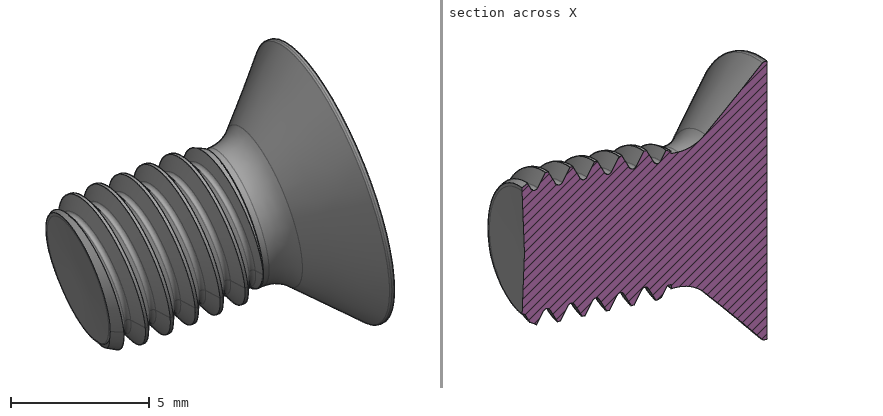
import cadquery as cq
import math

head_radius = 5.5
length = 10.0
rim_height = 0.18
rim_lower_rounding = 0.11
rim_upper_rounding = 0.04
shank_radius = 2.67
neck_fillet = 1.57

pitch = 1.0
crest_radius = 3.0
thread_length = 6.08
first_crest = 0.26
thread_start_radius = 2.75
thread_start_length = 0.55
groove_runout_rise = 0.48
groove_overshoot = 0.05

tip_radius = 2.6
tip_chamfer_angle = 30.0
tip_dish_radius = 2.48
tip_dish_depth = 0.1


def make_head_and_shank():
    """Countersunk 90 degree head, blended into the plain shank above the thread."""
    rim_bottom = length - rim_height
    cone_bottom = rim_bottom - (head_radius - shank_radius)
    arc_start = cone_bottom - neck_fillet * math.tan(math.radians(22.5))
    half_angle = math.radians(22.5)
    arc_center = shank_radius + neck_fillet
    arc_middle = (
        arc_center - neck_fillet * math.cos(half_angle),
        arc_start + neck_fillet * math.sin(half_angle),
    )
    arc_end = (
        arc_center - neck_fillet * math.cos(2 * half_angle),
        arc_start + neck_fillet * math.sin(2 * half_angle),
    )
    body = (
        cq.Workplane("XZ")
        .moveTo(0, thread_length)
        .lineTo(shank_radius, thread_length)
        .lineTo(shank_radius, arc_start)
        .threePointArc(arc_middle, arc_end)
        .lineTo(head_radius, rim_bottom)
        .lineTo(head_radius, length)
        .lineTo(0, length)
        .close()
        .revolve(360, (0, 0, 0), (0, 1, 0))
    )
    rim_edges = cq.selectors.RadiusNthSelector(-1)
    body = body.edges(rim_edges).edges("<Z").fillet(rim_lower_rounding)
    return body.faces(">Z").edges().fillet(rim_upper_rounding)


def make_thread_blank():
    """Threaded length before the groove is cut, with tapered ends and a dished tip."""
    tip_chamfer = (crest_radius - tip_radius) / math.tan(math.radians(tip_chamfer_angle))
    return (
        cq.Workplane("XZ")
        .moveTo(0, tip_dish_depth)
        .lineTo(tip_dish_radius, 0)
        .lineTo(tip_radius, 0)
        .lineTo(crest_radius, tip_chamfer)
        .lineTo(crest_radius, thread_length - thread_start_length)
        .lineTo(thread_start_radius, thread_length)
        .lineTo(0, thread_length)
        .close()
        .revolve(360, (0, 0, 0), (0, 1, 0))
    )


def make_groove_turn(helix):
    """Cutter for one turn of the groove along a helix from +X: a 60 degree V with a rounded root."""
    sharp_height = pitch * math.sqrt(3) / 2
    crest_flat = pitch / 8
    root_rounding = sharp_height / 6
    flank_slope = math.tan(math.radians(30))

    vertex_radius = crest_radius - (pitch - crest_flat) / 2 / flank_slope
    root_radius = vertex_radius + root_rounding
    tangent_radius = vertex_radius + 1.5 * root_rounding
    tangent_half_width = (tangent_radius - vertex_radius) * flank_slope
    outer_radius = crest_radius + groove_overshoot
    outer_half_width = (outer_radius - vertex_radius) * flank_slope

    return (
        cq.Workplane("XZ")
        .moveTo(outer_radius, -outer_half_width)
        .lineTo(tangent_radius, -tangent_half_width)
        .threePointArc((root_radius, 0), (tangent_radius, tangent_half_width))
        .lineTo(outer_radius, outer_half_width)
        .close()
        .sweep(cq.Workplane(helix), isFrenet=True)
    )


def make_thread():
    """Thread cut one turn at a time from below the tip; the groove fades out in its last turn."""
    helix = cq.Wire.makeHelix(pitch, pitch, crest_radius)
    full_turn = make_groove_turn(helix)

    cone_angle = math.atan(groove_runout_rise / pitch)
    slant_pitch = pitch / math.cos(cone_angle)
    runout_helix = cq.Wire.makeHelix(slant_pitch, slant_pitch, crest_radius, angle=math.degrees(cone_angle))
    runout_turn = make_groove_turn(runout_helix)

    lowest_turn = first_crest - 1.5 * pitch
    full_turn_count = math.floor((thread_length - lowest_turn) / pitch)
    thread = make_thread_blank()
    for turn in range(full_turn_count):
        thread = thread.cut(full_turn.translate((0, 0, lowest_turn + turn * pitch)))
    return thread.cut(runout_turn.translate((0, 0, lowest_turn + full_turn_count * pitch)))


screw = make_head_and_shank().union(make_thread())
result = screw.rotate((0, 0, 0), (1, 0, 0), -90)